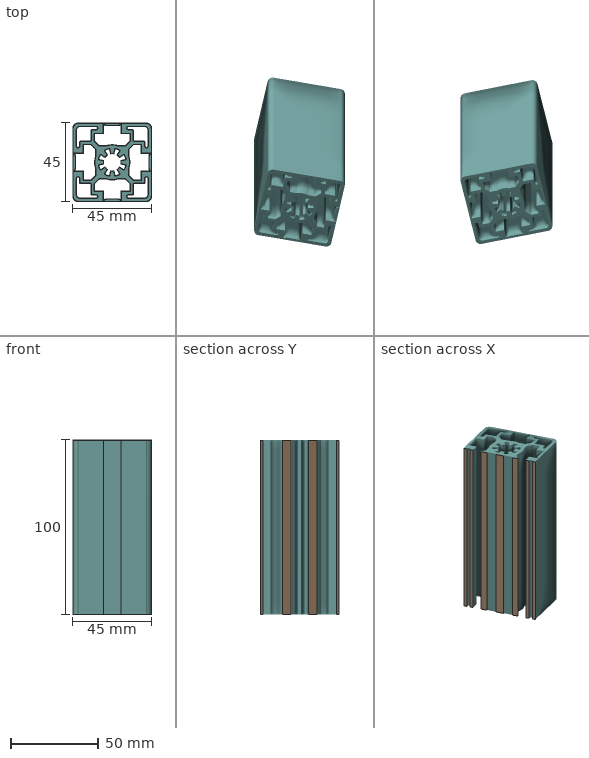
import cadquery as cq
import math

length = 100.0
side = 45.0
half_side = side / 2
corner_radius = 3.0

mouth_half_width = 5.1
slot_half_width = 10.2
lip_depth = 6.0
floor_distance = 9.5
floor_chamfer = 2.7
web_thickness = 1.5
web_edge_radius = 2.5
web_edge_run = 2.0
core_radius = 10.1

outer_wall = 2.0
slot_wall = 1.9
finger_width = 1.8
finger_end = 8.4
hollow_corner_radius = 2.0
step_radius = 0.6

bore_radius = 5.0
groove_radius = 8.0
groove_count = 8
groove_angle = 22.0


def quarter_turns(solid):
    """The solid and its copies at each quarter turn about the Z axis."""
    return [solid.rotate((0, 0, 0), (0, 0, 1), 90 * turn) for turn in range(4)]


def polar_point(radius, angle):
    """Point at a radius and an angle in degrees."""
    return (radius * math.cos(math.radians(angle)), radius * math.sin(math.radians(angle)))


def slot():
    """T-slot on the +Y side, with rounded web edges and a bulged floor."""
    lip_y = half_side - lip_depth
    web_y = half_side - web_thickness
    web_half_width = mouth_half_width - web_edge_run
    edge_sweep = math.asin(web_edge_run / web_edge_radius)
    arc_x = web_half_width + web_edge_radius * math.sin(edge_sweep / 2)
    arc_y = web_y + web_edge_radius * (1 - math.cos(edge_sweep / 2))
    tip_y = web_y + web_edge_radius * (1 - math.cos(edge_sweep))
    chamfer_end = slot_half_width - floor_chamfer
    outline = (
        cq.Workplane("XY")
        .moveTo(-chamfer_end, floor_distance)
        .lineTo(chamfer_end, floor_distance)
        .lineTo(slot_half_width, floor_distance + floor_chamfer)
        .lineTo(slot_half_width, lip_y)
        .lineTo(mouth_half_width, lip_y)
        .lineTo(mouth_half_width, tip_y)
        .threePointArc((arc_x, arc_y), (web_half_width, web_y))
        .lineTo(-web_half_width, web_y)
        .threePointArc((-arc_x, arc_y), (-mouth_half_width, tip_y))
        .lineTo(-mouth_half_width, lip_y)
        .lineTo(-slot_half_width, lip_y)
        .lineTo(-slot_half_width, floor_distance + floor_chamfer)
        .close()
    )
    core = cq.Workplane("XY").circle(core_radius).extrude(length)
    return outline.extrude(length).cut(core)


def corner_hollow():
    """Hollow in the +X +Y corner, symmetric about the diagonal."""
    outer = half_side - outer_wall
    inner = slot_half_width + slot_wall
    finger_inner = outer - finger_width
    finger_radius = finger_width / 2
    finger_middle = outer - finger_radius
    round_start = finger_end + finger_radius
    outline = (
        cq.Workplane("XY")
        .moveTo(inner, inner)
        .lineTo(finger_inner, inner)
        .lineTo(finger_inner, round_start)
        .threePointArc((finger_middle, finger_end), (outer, round_start))
        .lineTo(outer, outer)
        .lineTo(round_start, outer)
        .threePointArc((finger_end, finger_middle), (round_start, finger_inner))
        .lineTo(inner, finger_inner)
        .close()
    )
    hollow = outline.extrude(length)
    mid_height = length / 2
    outer_corner = cq.NearestToPointSelector((outer, outer, mid_height))
    hollow = hollow.edges(outer_corner).fillet(hollow_corner_radius)
    for x, y in [(finger_inner, inner), (inner, inner), (inner, finger_inner)]:
        step_corner = cq.NearestToPointSelector((x, y, mid_height))
        hollow = hollow.edges(step_corner).fillet(step_radius)
    return hollow


def bore_groove(angle):
    """Wedge from the axis to the groove bottom, centred on an angle."""
    return (
        cq.Workplane("XY")
        .lineTo(*polar_point(groove_radius, angle - groove_angle / 2))
        .threePointArc(
            polar_point(groove_radius, angle),
            polar_point(groove_radius, angle + groove_angle / 2),
        )
        .close()
        .extrude(length)
    )


body = cq.Workplane("XY").rect(side, side).extrude(length)
body = body.edges("|Z").fillet(corner_radius)

for cavity in quarter_turns(slot()) + quarter_turns(corner_hollow()):
    body = body.cut(cavity)

body = body.cut(cq.Workplane("XY").circle(bore_radius).extrude(length))
groove_pitch = 360 / groove_count
for index in range(groove_count):
    body = body.cut(bore_groove((index + 0.5) * groove_pitch))

result = body